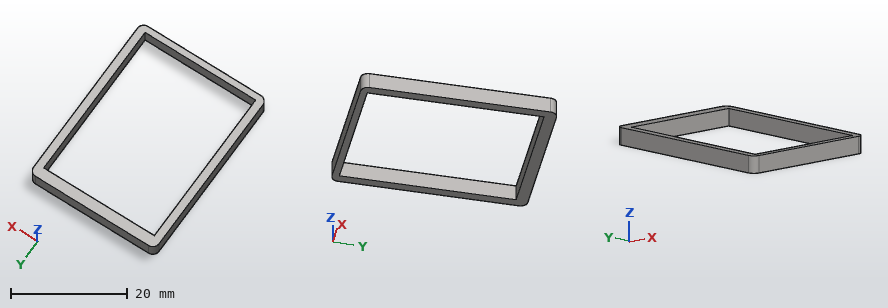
import cadquery as cq

width = 25.92
length = 34.3
height = 3.1
corner_radius = 1.3

side_wall = 1.55
front_wall = 1.25
back_wall = 2.13

opening_width = width - 2 * side_wall
opening_length = length - front_wall - back_wall
opening_center_y = (front_wall - back_wall) / 2

plate = (
    cq.Workplane("XY")
    .rect(width, length)
    .extrude(height)
    .edges("|Z")
    .fillet(corner_radius)
)

opening = (
    cq.Workplane("XY")
    .center(0, opening_center_y)
    .rect(opening_width, opening_length)
    .extrude(height)
)

result = plate.cut(opening)